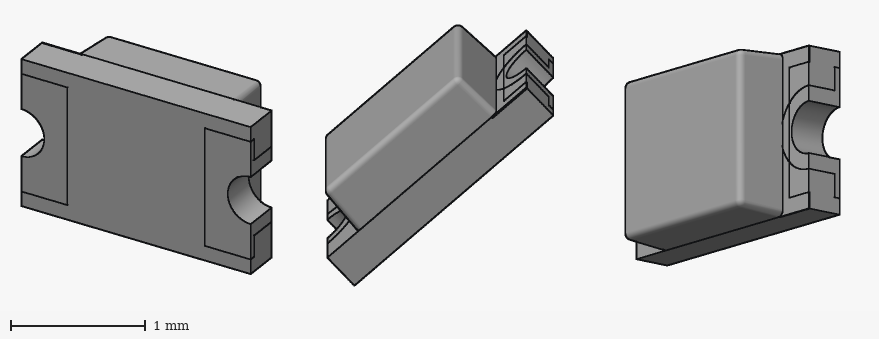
import cadquery as cq
import math

board_length = 2
board_height = 1.25
board_thickness = 0.3
overall_depth = 0.7
solder_face_y = -overall_depth / 2
lens_seat_y = solder_face_y + board_thickness

notch_radius = 0.2
sleeve_radius = 0.32
pad_width = 0.4
pad_height = 1
pad_thickness = 0.05

mark_length = 0.35
mark_thickness = 0.01
mark_band_width = (board_height - pad_height) / 2

lens_base_length = 1.4
lens_draft_angle = 3
lens_edge_radius = 0.05
lens_depth = overall_depth - board_thickness


def block(length, depth, height, x_center, y_start):
    """Box centred on x_center and Z = 0 that grows toward +Y from y_start."""
    return cq.Workplane("XY").box(length, depth, height).translate(
        (x_center, y_start + depth / 2, 0)
    )


def end_cylinder(radius, side):
    """Cylinder along Y through the board thickness, centred on one end."""
    axis_start = cq.Vector(side * board_length / 2, solder_face_y, 0)
    return cq.Workplane(
        cq.Solid.makeCylinder(radius, board_thickness, axis_start, cq.Vector(0, 1, 0))
    )


def make_terminal(side):
    """Pad and notch sleeve at the -X end (side = -1) or the +X end (side = 1)."""
    pad_center_x = side * (board_length - pad_width) / 2
    pad = block(pad_width, pad_thickness, pad_height, pad_center_x, solder_face_y)
    board_envelope = block(board_length, board_thickness, board_height, 0, solder_face_y)
    sleeve = end_cylinder(sleeve_radius, side).intersect(board_envelope)
    return pad.union(sleeve).cut(end_cylinder(notch_radius, side))


def make_polarity_mark():
    """U-shaped film, open toward -X, with an opening as tall as the solder pad."""
    film_start_y = lens_seat_y - mark_thickness
    opening_length = mark_length - mark_band_width
    film_center_x = (mark_length - board_length) / 2
    opening_center_x = (opening_length - board_length) / 2
    film = block(mark_length, mark_thickness, board_height, film_center_x, film_start_y)
    opening = block(opening_length, mark_thickness, pad_height, opening_center_x, film_start_y)
    return film.cut(opening)


def make_board(inset_bodies):
    """Board with the end notches and a matching recess for each inset body."""
    board = block(board_length, board_thickness, board_height, 0, solder_face_y)
    for side in (-1, 1):
        board = board.cut(end_cylinder(notch_radius, side))
    for body in inset_bodies:
        board = board.cut(body)
    return board


def make_lens():
    """Lens lofted from its base to a smaller outer face, then rounded."""
    inset = lens_depth * math.tan(math.radians(lens_draft_angle))
    lens = (
        cq.Workplane("XZ", origin=(0, lens_seat_y, 0))
        .rect(lens_base_length, board_height)
        .workplane(offset=-lens_depth)
        .rect(lens_base_length - 2 * inset, board_height - 2 * inset)
        .loft(ruled=True)
    )
    return lens.edges("not <Y").fillet(lens_edge_radius)


terminals = [make_terminal(side) for side in (-1, 1)]
polarity_mark = make_polarity_mark()
board = make_board([*terminals, polarity_mark])
lens = make_lens()

result = cq.Compound.makeCompound(
    [board.val(), lens.val(), polarity_mark.val(), *[terminal.val() for terminal in terminals]]
)